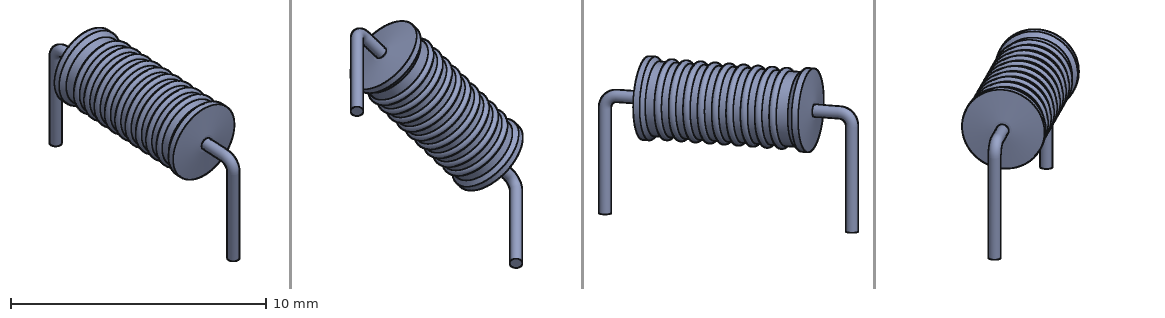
import cadquery as cq


body_length = 7.05
core_diameter = 2.95
flange_diameter = 3.3
flange_rim_width = 0.27
left_bevel_width = 0.215
right_bevel_width = 0.175
end_cone_height = 0.13
end_flat_diameter = 0.75

turn_count = 9
turn_pitch = 0.59
turn_diameter = 3.2
turn_section_radius = 0.15
first_turn_x = -2.29

lead_diameter = 0.5
lead_pitch = 10.16
lead_bend_radius = 0.5
lead_tip_z = -4.75

core_radius = core_diameter / 2
flange_radius = flange_diameter / 2
end_flat_radius = end_flat_diameter / 2
body_end_x = body_length / 2
rim_outer_x = body_end_x - end_cone_height
rim_inner_x = rim_outer_x - flange_rim_width
turn_centre_radius = turn_diameter / 2 - turn_section_radius
lead_x = lead_pitch / 2


def flange_outline(bevel_width):
    """Points (x, radius) from the core end out to the axis, for the flange on the +X side."""
    return [
        (rim_inner_x - bevel_width, core_radius),
        (rim_inner_x, flange_radius),
        (rim_outer_x, flange_radius),
        (body_end_x, end_flat_radius),
        (body_end_x, 0),
    ]


def make_bobbin():
    """Core with a bevelled flange and a shallow end cone at each end, revolved about X."""
    right_outline = flange_outline(right_bevel_width)
    left_outline = [(-x, radius) for x, radius in reversed(flange_outline(left_bevel_width))]
    profile = cq.Workplane("XY").polyline(left_outline + right_outline).close()
    return profile.revolve(360, (0, 0, 0), (1, 0, 0))


def make_turn(x):
    """Ring of round section, partly sunk into the core, at the given X."""
    section = cq.Workplane("XY").center(x, turn_centre_radius).circle(turn_section_radius)
    return section.revolve(360, (0, -turn_centre_radius, 0), (1, -turn_centre_radius, 0))


def make_lead_pair():
    """One wire through the body, bent down at both ends."""
    bend_x = lead_x - lead_bend_radius
    wire_path = (
        cq.Workplane("XZ")
        .moveTo(-lead_x, lead_tip_z)
        .lineTo(-lead_x, -lead_bend_radius)
        .radiusArc((-bend_x, 0), lead_bend_radius)
        .lineTo(bend_x, 0)
        .radiusArc((lead_x, -lead_bend_radius), lead_bend_radius)
        .lineTo(lead_x, lead_tip_z)
    )
    lead_section = cq.Workplane("XY", origin=(-lead_x, 0, lead_tip_z)).circle(lead_diameter / 2)
    return lead_section.sweep(wire_path)


result = make_bobbin().union(make_lead_pair())
for turn_index in range(turn_count):
    result = result.union(make_turn(first_turn_x + turn_index * turn_pitch))